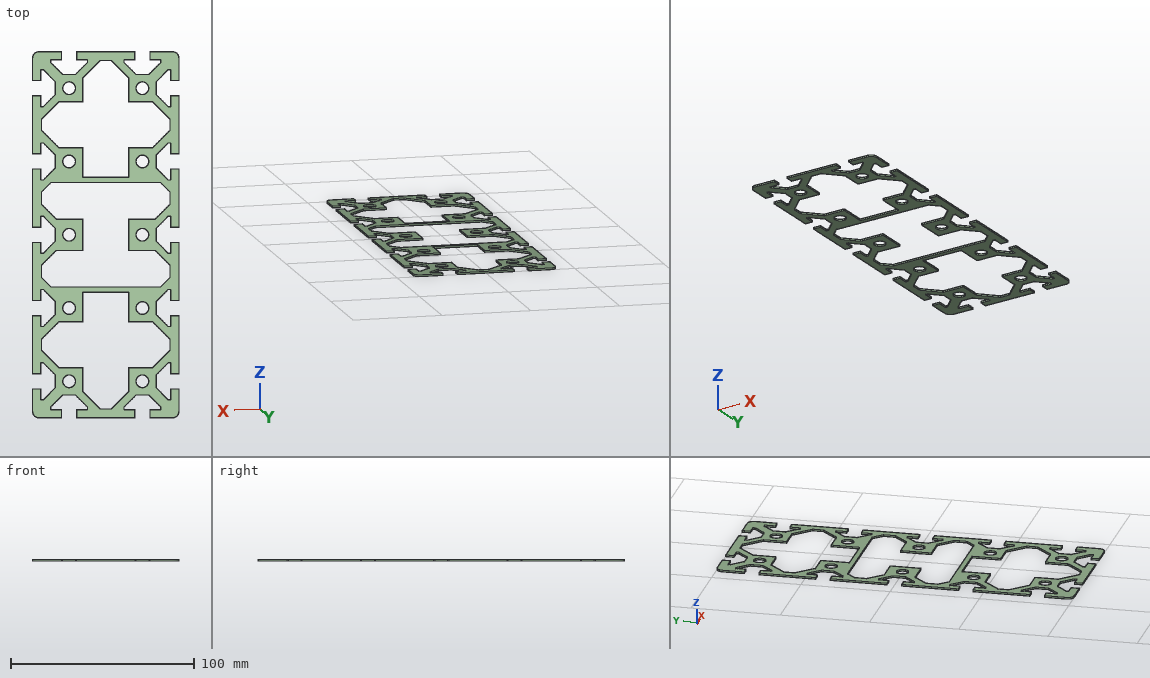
import cadquery as cq

module = 40.0
columns = 2
rows = 5
thickness = 1.0
corner_radius = 3.5
hole_diameter = 6.8

lip = 4.5
mouth_width = 8.2
slot_width = 20.0
slot_depth = 12.5
slot_shoulder_depth = 6.0
floor_width = 7.0

wall = 5.0
flat_width = 6.0
middle_flat_width = 6.8
boss_side = 15.0
middle_boss_length = 17.2
web = 3.0

width = columns * module
length = rows * module
half_width = width / 2
half_length = length / 2
chamber_half_width = half_width - wall
chamber_half_length = half_length - wall
boss_half = boss_side / 2
boss_inner_x = module / 2 - boss_half
outer_hole_y = (rows - 1) / 2 * module
inner_hole_y = outer_hole_y - module
end_flat_y = (outer_hole_y + inner_hole_y) / 2
middle_flat_y = inner_hole_y / 2
web_y = inner_hole_y - module / 4


def plate():
    """Solid rectangular slice with rounded corners."""
    return cq.Workplane("XY").box(width, length, thickness).edges("|Z").fillet(corner_radius)


def symmetric_cutter(right_side):
    """Prism through the whole thickness: an outline on the +X side joined to its mirror image."""
    left_side = [(-x, y) for x, y in reversed(right_side)]
    return cq.Workplane("XY").polyline(right_side + left_side).close().extrude(thickness, both=True)


def turned(cutter, angle):
    """Cutter turned about the Z axis."""
    return cutter.rotate((0, 0, 0), (0, 0, 1), angle)


def t_slot():
    """T-slot open toward +Y at Y = 0, with sloped sides down to a narrow floor."""
    return symmetric_cutter([
        (mouth_width / 2, 0),
        (mouth_width / 2, -lip),
        (slot_width / 2, -lip),
        (slot_width / 2, -slot_shoulder_depth),
        (floor_width / 2, -slot_depth),
    ])


def end_chamber():
    """Cross-shaped chamber at the +Y end, with 45 degree corners beside the outer walls."""
    flat_half = flat_width / 2
    upper_boss_y = outer_hole_y - boss_half
    lower_boss_y = inner_hole_y + boss_half
    side_slope = upper_boss_y - end_flat_y - flat_half
    end_slope = boss_inner_x - flat_half
    return symmetric_cutter([
        (flat_half, chamber_half_length),
        (boss_inner_x, chamber_half_length - end_slope),
        (boss_inner_x, upper_boss_y),
        (chamber_half_width - side_slope, upper_boss_y),
        (chamber_half_width, end_flat_y + flat_half),
        (chamber_half_width, end_flat_y - flat_half),
        (chamber_half_width - side_slope, lower_boss_y),
        (boss_inner_x, lower_boss_y),
        (boss_inner_x, web_y + web / 2),
    ])


def middle_chamber():
    """H-shaped chamber between the two webs, with 45 degree corners beside the outer walls."""
    boss_y = middle_boss_length / 2
    web_face_y = web_y - web / 2
    upper_flat_y = middle_flat_y + middle_flat_width / 2
    lower_flat_y = middle_flat_y - middle_flat_width / 2
    web_slope = web_face_y - upper_flat_y
    boss_slope = lower_flat_y - boss_y
    upper_right = [
        (chamber_half_width - web_slope, web_face_y),
        (chamber_half_width, upper_flat_y),
        (chamber_half_width, lower_flat_y),
        (chamber_half_width - boss_slope, boss_y),
        (boss_inner_x, boss_y),
    ]
    lower_right = [(x, -y) for x, y in reversed(upper_right)]
    return symmetric_cutter(upper_right + lower_right)


def module_holes():
    """Round through holes at the module centres."""
    return (
        cq.Workplane("XY")
        .rarray(module, module, columns, rows)
        .circle(hole_diameter / 2)
        .extrude(thickness, both=True)
    )


column_centres = [(i - (columns - 1) / 2) * module for i in range(columns)]
row_centres = [(i - (rows - 1) / 2) * module for i in range(rows)]
end_slot = t_slot().translate((0, half_length, 0))
side_slot = turned(t_slot(), -90).translate((half_width, 0, 0))

result = plate()
for angle in (0, 180):
    for x in column_centres:
        result = result.cut(turned(end_slot.translate((x, 0, 0)), angle))
    for y in row_centres:
        result = result.cut(turned(side_slot.translate((0, y, 0)), angle))
    result = result.cut(turned(end_chamber(), angle))

result = result.cut(middle_chamber())
result = result.cut(module_holes())